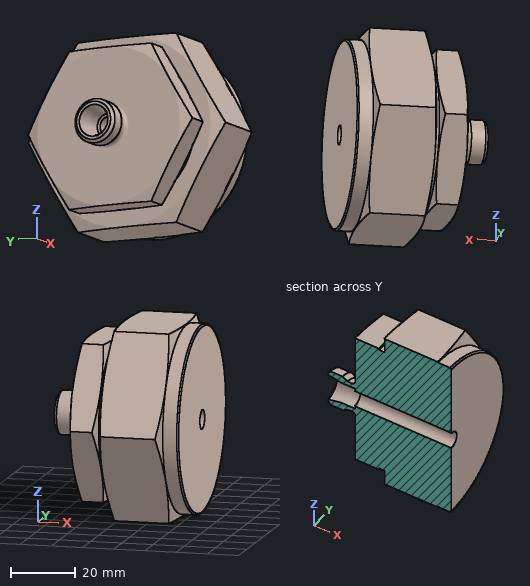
import cadquery as cq
import math

nipple_length = 10.0
small_hex_length = 9.0
neck_length = 1.9
large_hex_length = 20.0
collar_length = 5.0

small_hex_flats = 50.0
large_hex_flats = 60.0
hex_chamfer_angle = 15.0

neck_diameter = 49.0
collar_diameter = 59.6
collar_chamfer = 0.5

nipple_radius = 7.0
tip_chamfer = 1.0
land_end = 5.5
groove_radius = 5.9
groove_cone_angle = 30.0
root_fillet = 1.1

cone_mouth_radius = 5.0
socket_radius = 4.0
cone_half_angle = 12.0
socket_depth = 10.0
bore_radius = 3.0

small_hex_start = nipple_length
neck_start = small_hex_start + small_hex_length
large_hex_start = neck_start + neck_length
collar_start = large_hex_start + large_hex_length
total_length = collar_start + collar_length


def revolve_about_x(profile):
    """Turn a closed (x, radius) profile a full revolution about the X axis."""
    return profile.close().revolve(360, (0, 0, 0), (1, 0, 0))


def disc(start, length, diameter):
    """Cylinder about the X axis, reaching from start towards +X."""
    return cq.Workplane("YZ", origin=(start, 0, 0)).circle(diameter / 2).extrude(length)


def chamfered_hex(start, length, flats):
    """Hexagon with corners on +/-Y, its corners turned down to the flats circle at both ends."""
    corner_radius = flats / 2 / math.cos(math.radians(30))
    flat_radius = flats / 2
    setback = (corner_radius - flat_radius) * math.tan(math.radians(hex_chamfer_angle))
    end = start + length
    prism = cq.Workplane("YZ", origin=(start, 0, 0)).polygon(6, 2 * corner_radius).extrude(length)
    envelope = revolve_about_x(
        cq.Workplane("XY")
        .moveTo(start, 0)
        .lineTo(start, flat_radius)
        .lineTo(start + setback, corner_radius)
        .lineTo(end - setback, corner_radius)
        .lineTo(end, flat_radius)
        .lineTo(end, 0)
    )
    return prism.intersect(envelope)


def nipple():
    """Round spigot with a relief groove that flares into the small hexagon's face."""
    groove_depth = nipple_radius - groove_radius
    groove_start = land_end + groove_depth / math.tan(math.radians(groove_cone_angle))
    fillet_start = nipple_length - root_fillet
    fillet_mid = root_fillet * math.sin(math.radians(45))
    return revolve_about_x(
        cq.Workplane("XY")
        .moveTo(0, 0)
        .lineTo(0, nipple_radius - tip_chamfer)
        .lineTo(tip_chamfer, nipple_radius)
        .lineTo(land_end, nipple_radius)
        .lineTo(groove_start, groove_radius)
        .lineTo(fillet_start, groove_radius)
        .threePointArc(
            (fillet_start + fillet_mid, groove_radius + root_fillet - fillet_mid),
            (nipple_length, groove_radius + root_fillet),
        )
        .lineTo(nipple_length, 0)
    )


def bore():
    """Tapered mouth, cylindrical tube socket and through hole."""
    cone_depth = (cone_mouth_radius - socket_radius) / math.tan(math.radians(cone_half_angle))
    return revolve_about_x(
        cq.Workplane("XY")
        .moveTo(0, 0)
        .lineTo(0, cone_mouth_radius)
        .lineTo(cone_depth, socket_radius)
        .lineTo(socket_depth, socket_radius)
        .lineTo(socket_depth, bore_radius)
        .lineTo(total_length, bore_radius)
        .lineTo(total_length, 0)
    )


collar = disc(collar_start, collar_length, collar_diameter).faces(">X").chamfer(collar_chamfer)

result = (
    nipple()
    .union(chamfered_hex(small_hex_start, small_hex_length, small_hex_flats))
    .union(disc(neck_start, neck_length, neck_diameter))
    .union(chamfered_hex(large_hex_start, large_hex_length, large_hex_flats))
    .union(collar)
    .cut(bore())
)